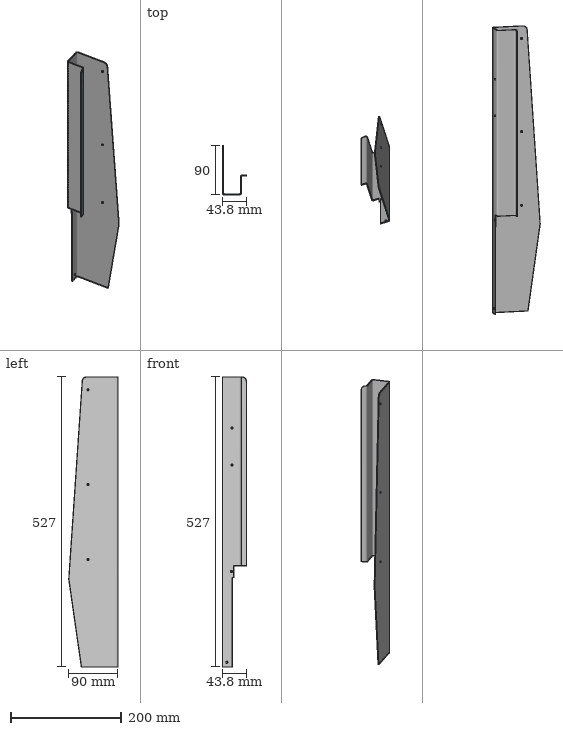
import cadquery as cq
import math

sheet = 1.75
inner_bend = 1.75
outer_bend = inner_bend + sheet
length = 527.0
overall_x = 43.75
overall_y = 90.0

web_width = 34.5
short_wall_depth = 36.0

tall_wall_bottom_depth = 67.0
tall_wall_top_depth = 65.0
tall_wall_peak_z = 160.0
tall_wall_corner_radius = 8.0

short_wall_bottom_z = 184.0
tab_bottom_z = 162.5
tab_width = 21.0
foot_width = 18.0

lip_corner_radius = 8.0

hole_diameter = 3.0
web_holes = [(17.5, 434.5), (17.5, 367.0), (16.5, 174.0), (8.0, 9.0)]
wall_hole_y = 55.0
wall_hole_heights = [503.75, 331.75, 195.75]


def arc_middle(center, radius, degrees):
    """Point on a circle, used as the middle point of a bend arc."""
    angle = math.radians(degrees)
    return (center[0] + radius * math.cos(angle), center[1] + radius * math.sin(angle))


def folded_section():
    """Full-length sheet folded into a channel with an outward lip."""
    tall_bend = (outer_bend, outer_bend)
    short_bend = (web_width - outer_bend, outer_bend)
    lip_bend = (web_width + inner_bend, short_wall_depth - outer_bend)
    short_inner_x = web_width - sheet
    lip_inner_y = short_wall_depth - sheet
    return (
        cq.Workplane("XY")
        .moveTo(0, overall_y)
        .lineTo(0, outer_bend)
        .threePointArc(arc_middle(tall_bend, outer_bend, 225), (outer_bend, 0))
        .lineTo(short_bend[0], 0)
        .threePointArc(arc_middle(short_bend, outer_bend, 315), (web_width, outer_bend))
        .lineTo(web_width, lip_bend[1])
        .threePointArc(arc_middle(lip_bend, inner_bend, 135), (lip_bend[0], lip_inner_y))
        .lineTo(overall_x, lip_inner_y)
        .lineTo(overall_x, short_wall_depth)
        .lineTo(lip_bend[0], short_wall_depth)
        .threePointArc(arc_middle(lip_bend, outer_bend, 135), (short_inner_x, lip_bend[1]))
        .lineTo(short_inner_x, outer_bend)
        .threePointArc(arc_middle(short_bend, inner_bend, 315), (short_bend[0], sheet))
        .lineTo(outer_bend, sheet)
        .threePointArc(arc_middle(tall_bend, inner_bend, 225), (sheet, outer_bend))
        .lineTo(sheet, overall_y)
        .close()
        .extrude(length)
    )


def side_outline():
    """Tall wall outline in YZ, run through the full width of the part."""
    return (
        cq.Workplane("YZ")
        .polyline([(0, 0), (tall_wall_bottom_depth, 0), (overall_y, tall_wall_peak_z),
                   (tall_wall_top_depth, length), (0, length)])
        .close()
        .extrude(overall_x)
        .edges(cq.selectors.NearestToPointSelector((overall_x / 2, tall_wall_top_depth, length)))
        .fillet(tall_wall_corner_radius)
    )


def front_outline():
    """Stepped web and lip outline in XZ, run through the full depth of the part."""
    return (
        cq.Workplane("XZ")
        .polyline([(0, 0), (foot_width, 0), (foot_width, tab_bottom_z), (tab_width, tab_bottom_z),
                   (tab_width, short_wall_bottom_z), (overall_x, short_wall_bottom_z),
                   (overall_x, length), (0, length)])
        .close()
        .extrude(-overall_y)
        .edges(cq.selectors.NearestToPointSelector((overall_x, overall_y / 2, length)))
        .fillet(lip_corner_radius)
    )


def web_hole_cutters():
    """Pins along Y through the web only."""
    return cq.Workplane("XZ").pushPoints(web_holes).circle(hole_diameter / 2).extrude(-sheet)


def wall_hole_cutters():
    """Pins along X through the tall wall only."""
    centers = [(wall_hole_y, z) for z in wall_hole_heights]
    return cq.Workplane("YZ").pushPoints(centers).circle(hole_diameter / 2).extrude(sheet)


result = (
    folded_section()
    .intersect(side_outline())
    .intersect(front_outline())
    .cut(web_hole_cutters())
    .cut(wall_hole_cutters())
)